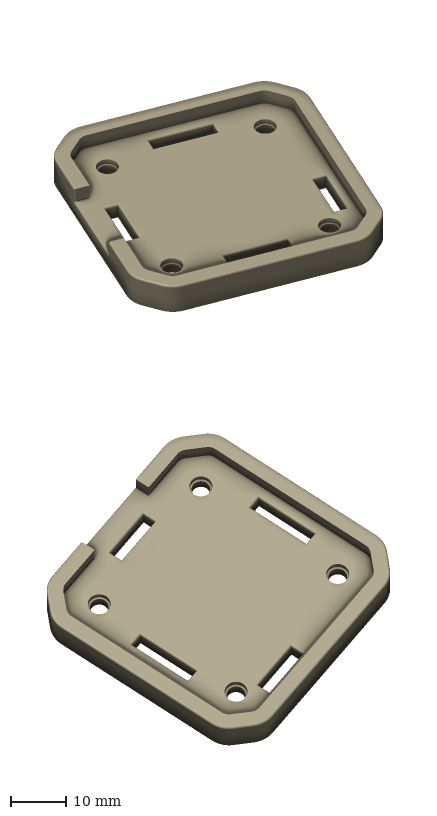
import cadquery as cq
import math

side = 49.9
height = 6.0
floor_thickness = 3.0
wall = 3.0
corner_cut = 5.75
corner_radius = 5.3
edge_radius = 0.4

notch_width = 16.45

hole_diameter = 3.4
counterbore_diameter = 4.2
counterbore_depth = 1.0
hole_spacing = 31.0

slot_width = 2.55
short_slot = 10.15
long_slot = 12.6
slots = [
    (6.85, 19.1, short_slot, slot_width),
    (0.45, -19.1, short_slot, slot_width),
    (-18.6, 0.7, slot_width, long_slot),
    (17.45, 0.7, slot_width, long_slot),
]


def cut_corner_block(inset, bottom):
    """Block up to the top face, its outline a rounded, corner-cut square moved inward by inset."""
    width = side - 2 * inset
    cut = corner_cut - (2 - math.sqrt(2)) * inset
    return (
        cq.Workplane("XY", origin=(0, 0, bottom))
        .rect(width, width)
        .extrude(height - bottom)
        .edges("|Z")
        .chamfer(cut)
        .edges("|Z")
        .fillet(corner_radius - inset)
    )


def notch():
    """Gap through the front wall, level with the floor."""
    return (
        cq.Workplane("XY", origin=(0, -side / 2, floor_thickness))
        .rect(notch_width, 2 * wall)
        .extrude(height)
    )


def round_outer_edges(block):
    """Round the rim's outer top edge and the notch's sides and sill along the front face."""
    front = -side / 2
    around_notch = cq.selectors.BoxSelector(
        (-notch_width, front - edge_radius, floor_thickness - edge_radius),
        (notch_width, front + edge_radius, height - edge_radius),
    )
    notch_edges = block.faces("<Y").edges(around_notch)
    rim_edge = block.faces(">Z").edges(">Y")
    return rim_edge.add(notch_edges).fillet(edge_radius)


def cut_slot(tray, x, y, size_x, size_y):
    """Cut a slot through the floor and round its upper edges."""
    slot = cq.Workplane("XY").center(x, y).rect(size_x, size_y).extrude(floor_thickness)
    reach_x = size_x / 2 + edge_radius
    reach_y = size_y / 2 + edge_radius
    mouth = cq.selectors.BoxSelector(
        (x - reach_x, y - reach_y, floor_thickness - edge_radius),
        (x + reach_x, y + reach_y, floor_thickness + edge_radius),
    )
    return tray.cut(slot).edges(mouth).fillet(edge_radius)


def screw_holes():
    """Four through holes, counterbored from the floor surface."""
    corners = cq.Workplane("XY").rect(hole_spacing, hole_spacing, forConstruction=True).vertices()
    through = corners.circle(hole_diameter / 2).extrude(floor_thickness)
    counterbores = (
        corners.circle(counterbore_diameter / 2)
        .extrude(counterbore_depth)
        .translate((0, 0, floor_thickness - counterbore_depth))
    )
    return through.union(counterbores)


tray = round_outer_edges(cut_corner_block(0, 0).cut(notch()))
tray = tray.cut(cut_corner_block(wall, floor_thickness))
for slot in slots:
    tray = cut_slot(tray, *slot)

result = tray.cut(screw_holes())